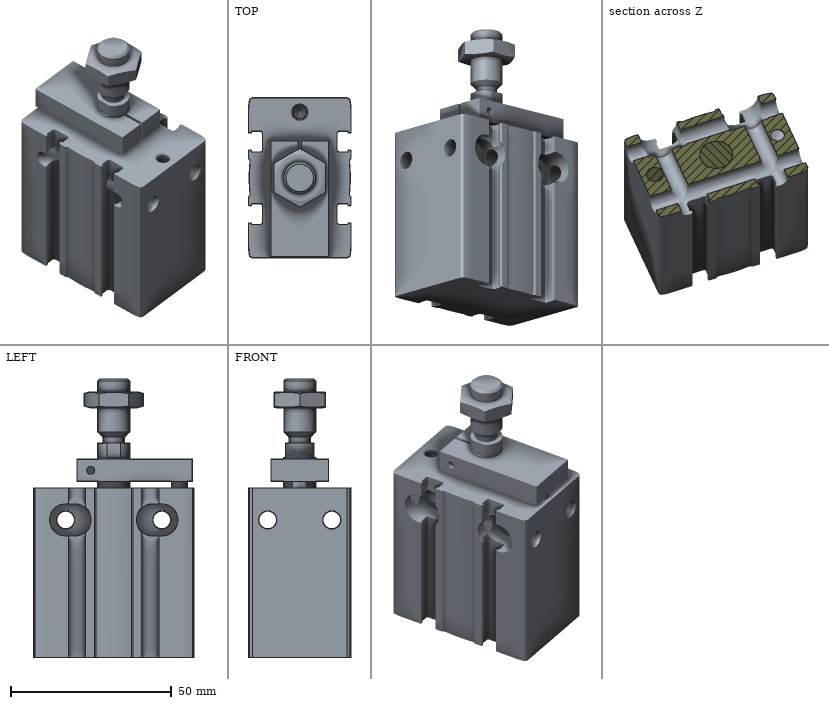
import cadquery as cq
import math

HOUSING_WIDTH = 32.0
HOUSING_LENGTH = 50.0
HOUSING_HEIGHT = 53.0
HALF_WIDTH = HOUSING_WIDTH / 2
HALF_LENGTH = HOUSING_LENGTH / 2

END_FACE_HALF_WIDTH = 14.8
BEVEL_LENGTH = 0.5
CORNER_ARC_RADIUS = 12.5
CORNER_ARC_LENGTH = 3.0

SLOT_OUTER_Y = 14.5
SLOT_INNER_Y = 8.1
SLOT_DEPTH = 4.3
SLOT_FLOOR_CHAMFER = 0.4
LIP_THICKNESS = 1.0
OUTER_LIP_HEIGHT = 0.45
INNER_LIP_HEIGHT = 0.65
LIP_ROUND_HEIGHT = LIP_THICKNESS / 2

RELIEF_HALF_LENGTH = 6.0
RELIEF_BEVEL_LENGTH = 0.5
BOW_HALF_LENGTH = 5.0
BOW_EDGE_DEPTH = 0.45
BOW_CREST_DEPTH = 0.2

MOUNT_HOLE_DIAMETER = 5.5
MOUNT_HOLE_Z = HOUSING_HEIGHT - 10.0
LENGTHWISE_HOLE_X = 10.0
CROSSWISE_HOLE_Y = 15.0
COUNTERBORE_DIAMETER = 10.0
COUNTERBORE_LENGTH = 12.9
COUNTERBORE_DEPTH = 9.0

PORT_Y = 20.5
PORT_THREAD_DIAMETER = 5.0
PORT_BORE_DIAMETER = 4.13
PORT_DEPTH = 10.0
DRILL_POINT_ANGLE = 118.0

ROD_DIAMETER = 10.0
ROD_INSERTION = 10.0
GUIDE_DIAMETER = 5.0
GUIDE_Y = -20.5
GUIDE_RECESS_DIAMETERS = (7.5, 6.0)
GUIDE_RECESS_STEP = 0.3

PLATE_WIDTH = 18.0
PLATE_LENGTH = 36.0
PLATE_THICKNESS = 7.0
PLATE_GAP = 2.0
PLATE_BACK_Y = 11.5
PLATE_BOTTOM_Z = HOUSING_HEIGHT + PLATE_GAP
PLATE_TOP_Z = PLATE_BOTTOM_Z + PLATE_THICKNESS
CLAMP_SLIT_WIDTH = 1.0
CLAMP_HOLE_DIAMETER = 2.46
CLAMP_HOLE_Y = 7.2

ROD_TOP_Z = 87.0
ROD_TIP_DIAMETER = 8.65
NECK_DIAMETER = 6.67
NECK_BOTTOM_Z = PLATE_TOP_Z + 5.0
THREAD_BOTTOM_Z = NECK_BOTTOM_Z + 3.5
WRENCH_WIDTH = 9.0
WRENCH_FLAT_LENGTH = 4.5

NUT_WIDTH = 16.0
NUT_THICKNESS = 5.0
NUT_BOTTOM_Z = 78.0
NUT_FACE_DIAMETER = 14.6
NUT_CHAMFER_ANGLE = 15.0


def cylinder(diameter, bottom_z, top_z, y=0.0):
    """Upright cylinder on the plane X = 0."""
    return (
        cq.Workplane("XY", origin=(0, y, bottom_z))
        .circle(diameter / 2)
        .extrude(top_z - bottom_z)
    )


def housing_corner_arc():
    """Start, middle and end of the corner arc, which is tangent to the side."""
    start_y = HALF_LENGTH - BEVEL_LENGTH - CORNER_ARC_LENGTH
    center_x = HALF_WIDTH - CORNER_ARC_RADIUS
    sweep = math.asin(CORNER_ARC_LENGTH / CORNER_ARC_RADIUS)
    return [
        (
            center_x + CORNER_ARC_RADIUS * math.cos(angle),
            start_y + CORNER_ARC_RADIUS * math.sin(angle),
        )
        for angle in (0, sweep / 2, sweep)
    ]


def mirrored(points):
    """The same points on the -Y side."""
    return [(x, -y) for x, y in points]


def housing_half():
    """The +X half of the extrusion, without the slots."""
    arc_start, arc_middle, arc_end = housing_corner_arc()
    front_arc_start, front_arc_middle, front_arc_end = mirrored([arc_start, arc_middle, arc_end])
    bow_edge_x = HALF_WIDTH - BOW_EDGE_DEPTH
    bow_crest_x = HALF_WIDTH - BOW_CREST_DEPTH
    bow_end = (bow_edge_x, BOW_HALF_LENGTH)
    relief_floor = (bow_edge_x, RELIEF_HALF_LENGTH - RELIEF_BEVEL_LENGTH)
    relief_edge = (HALF_WIDTH, RELIEF_HALF_LENGTH)
    end_face = (END_FACE_HALF_WIDTH, HALF_LENGTH)
    front_bow_end, front_floor, front_edge, front_face = mirrored(
        [bow_end, relief_floor, relief_edge, end_face]
    )
    return (
        cq.Workplane("XY")
        .moveTo(0, -HALF_LENGTH)
        .lineTo(*front_face)
        .lineTo(*front_arc_end)
        .threePointArc(front_arc_middle, front_arc_start)
        .lineTo(*front_edge)
        .lineTo(*front_floor)
        .lineTo(*front_bow_end)
        .threePointArc((bow_crest_x, 0), bow_end)
        .lineTo(*relief_floor)
        .lineTo(*relief_edge)
        .lineTo(*arc_start)
        .threePointArc(arc_middle, arc_end)
        .lineTo(*end_face)
        .lineTo(0, HALF_LENGTH)
        .close()
        .extrude(HOUSING_HEIGHT)
    )


def sensor_slot():
    """Undercut slot at +X and +Y with a square outer lip and a rounded inner lip."""
    floor_x = HALF_WIDTH - SLOT_DEPTH
    lip_x = HALF_WIDTH - LIP_THICKNESS
    lip_middle_x = HALF_WIDTH - LIP_THICKNESS / 2
    outer_mouth_y = SLOT_OUTER_Y - OUTER_LIP_HEIGHT
    inner_crest_y = SLOT_INNER_Y + INNER_LIP_HEIGHT
    round_start_y = inner_crest_y - LIP_ROUND_HEIGHT
    return (
        cq.Workplane("XY")
        .moveTo(HALF_WIDTH, outer_mouth_y)
        .lineTo(lip_x, outer_mouth_y)
        .lineTo(lip_x, SLOT_OUTER_Y)
        .lineTo(floor_x + SLOT_FLOOR_CHAMFER, SLOT_OUTER_Y)
        .lineTo(floor_x, SLOT_OUTER_Y - SLOT_FLOOR_CHAMFER)
        .lineTo(floor_x, SLOT_INNER_Y + SLOT_FLOOR_CHAMFER)
        .lineTo(floor_x + SLOT_FLOOR_CHAMFER, SLOT_INNER_Y)
        .lineTo(lip_x, SLOT_INNER_Y)
        .lineTo(lip_x, round_start_y)
        .threePointArc((lip_middle_x, inner_crest_y), (HALF_WIDTH, round_start_y))
        .close()
        .extrude(HOUSING_HEIGHT)
    )


def housing_extrusion():
    slot = sensor_slot()
    half = housing_half().cut(slot).cut(slot.mirror("XZ"))
    return half.union(half.mirror("YZ")).clean()


def lengthwise_holes():
    """Plain through holes along Y."""
    return (
        cq.Workplane("XZ", origin=(0, HALF_LENGTH, MOUNT_HOLE_Z))
        .pushPoints([(-LENGTHWISE_HOLE_X, 0), (LENGTHWISE_HOLE_X, 0)])
        .circle(MOUNT_HOLE_DIAMETER / 2)
        .extrude(HOUSING_LENGTH)
    )


def crosswise_holes():
    """Through holes along X with obround counterbores in the -X side."""
    side = cq.Workplane("YZ", origin=(-HALF_WIDTH, 0, MOUNT_HOLE_Z))
    holes = (
        side.pushPoints([(-CROSSWISE_HOLE_Y, 0), (CROSSWISE_HOLE_Y, 0)])
        .circle(MOUNT_HOLE_DIAMETER / 2)
        .extrude(HOUSING_WIDTH)
    )
    counterbore_y = CROSSWISE_HOLE_Y + COUNTERBORE_DIAMETER / 2 - COUNTERBORE_LENGTH / 2
    counterbores = (
        side.pushPoints([(-counterbore_y, 0), (counterbore_y, 0)])
        .slot2D(COUNTERBORE_LENGTH, COUNTERBORE_DIAMETER)
        .extrude(COUNTERBORE_DEPTH)
    )
    return holes.union(counterbores)


def port():
    """Blind bore with a countersunk mouth and a conical drill point."""
    thread_radius = PORT_THREAD_DIAMETER / 2
    bore_radius = PORT_BORE_DIAMETER / 2
    mouth_depth = thread_radius - bore_radius
    point_depth = bore_radius / math.tan(math.radians(DRILL_POINT_ANGLE / 2))
    return (
        cq.Workplane("XZ", origin=(0, PORT_Y, HOUSING_HEIGHT))
        .moveTo(0, 0)
        .lineTo(thread_radius, 0)
        .lineTo(bore_radius, -mouth_depth)
        .lineTo(bore_radius, -PORT_DEPTH)
        .lineTo(0, -PORT_DEPTH - point_depth)
        .close()
        .revolve(360, (0, 0, 0), (0, 1, 0))
    )


def guide_bore():
    """Bore of the guide rod with shallow steps at its mouth."""
    bore = cylinder(GUIDE_DIAMETER, HOUSING_HEIGHT - ROD_INSERTION, HOUSING_HEIGHT, GUIDE_Y)
    for number, diameter in enumerate(GUIDE_RECESS_DIAMETERS, start=1):
        step_z = HOUSING_HEIGHT - number * GUIDE_RECESS_STEP
        bore = bore.union(cylinder(diameter, step_z, HOUSING_HEIGHT, GUIDE_Y))
    return bore


def make_housing():
    rod_bore = cylinder(ROD_DIAMETER, HOUSING_HEIGHT - ROD_INSERTION, HOUSING_HEIGHT)
    return (
        housing_extrusion()
        .cut(lengthwise_holes())
        .cut(crosswise_holes())
        .cut(port())
        .cut(rod_bore)
        .cut(guide_bore())
    )


def wrench_flats():
    """Material removed beside the two flats, at -X and +X, below the neck."""
    flat_depth = (ROD_DIAMETER - WRENCH_WIDTH) / 2
    flat_center_x = (WRENCH_WIDTH + flat_depth) / 2
    return (
        cq.Workplane("XY", origin=(0, 0, NECK_BOTTOM_Z - WRENCH_FLAT_LENGTH))
        .pushPoints([(-flat_center_x, 0), (flat_center_x, 0)])
        .rect(flat_depth, ROD_DIAMETER)
        .extrude(WRENCH_FLAT_LENGTH)
    )


def make_piston_rod():
    rod_radius = ROD_DIAMETER / 2
    neck_radius = NECK_DIAMETER / 2
    tip_radius = ROD_TIP_DIAMETER / 2
    bottom_z = HOUSING_HEIGHT - ROD_INSERTION
    neck_top_z = THREAD_BOTTOM_Z - (rod_radius - neck_radius)
    tip_edge_z = ROD_TOP_Z - (rod_radius - tip_radius)
    turned = (
        cq.Workplane("XZ")
        .moveTo(0, bottom_z)
        .lineTo(rod_radius, bottom_z)
        .lineTo(rod_radius, NECK_BOTTOM_Z)
        .lineTo(neck_radius, NECK_BOTTOM_Z)
        .lineTo(neck_radius, neck_top_z)
        .lineTo(rod_radius, THREAD_BOTTOM_Z)
        .lineTo(rod_radius, tip_edge_z)
        .lineTo(tip_radius, ROD_TOP_Z)
        .lineTo(0, ROD_TOP_Z)
        .close()
        .revolve(360, (0, 0, 0), (0, 1, 0))
    )
    return turned.cut(wrench_flats())


def make_guide_rod():
    """Rod from inside the housing to the underside of the plate."""
    return cylinder(GUIDE_DIAMETER, HOUSING_HEIGHT - ROD_INSERTION, PLATE_BOTTOM_Z, GUIDE_Y)


def make_plate():
    """Clamp plate, slit from its back edge to the rod bore."""
    block = cq.Workplane("XY").box(
        PLATE_WIDTH, PLATE_LENGTH, PLATE_THICKNESS, centered=(True, True, False)
    )
    block = block.translate((0, PLATE_BACK_Y - PLATE_LENGTH / 2, PLATE_BOTTOM_Z))
    slit = cq.Workplane("XY").box(
        CLAMP_SLIT_WIDTH, PLATE_BACK_Y, PLATE_THICKNESS, centered=(True, False, False)
    )
    slit = slit.translate((0, 0, PLATE_BOTTOM_Z))
    clamp_hole = (
        cq.Workplane("YZ", origin=(-PLATE_WIDTH / 2, 0, 0))
        .center(CLAMP_HOLE_Y, PLATE_BOTTOM_Z + PLATE_THICKNESS / 2)
        .circle(CLAMP_HOLE_DIAMETER / 2)
        .extrude(PLATE_WIDTH / 2)
    )
    rod_bore = cylinder(ROD_DIAMETER, PLATE_BOTTOM_Z, PLATE_TOP_Z)
    return block.cut(slit).cut(clamp_hole).cut(rod_bore)


def make_nut():
    """Hexagon nut with corners at -Y and +Y, chamfered on both faces."""
    corner_radius = NUT_WIDTH / 2 / math.cos(math.radians(30))
    face_radius = NUT_FACE_DIAMETER / 2
    corner_drop = (corner_radius - face_radius) * math.tan(math.radians(NUT_CHAMFER_ANGLE))
    hexagon = (
        cq.Workplane("XY")
        .polygon(6, 2 * corner_radius)
        .extrude(NUT_THICKNESS)
        .rotate((0, 0, 0), (0, 0, 1), 30)
    )
    chamfer_envelope = (
        cq.Workplane("XZ")
        .moveTo(0, 0)
        .lineTo(face_radius, 0)
        .lineTo(corner_radius, corner_drop)
        .lineTo(corner_radius, NUT_THICKNESS - corner_drop)
        .lineTo(face_radius, NUT_THICKNESS)
        .lineTo(0, NUT_THICKNESS)
        .close()
        .revolve(360, (0, 0, 0), (0, 1, 0))
    )
    bore = cylinder(ROD_DIAMETER, 0, NUT_THICKNESS)
    return hexagon.intersect(chamfer_envelope).cut(bore).translate((0, 0, NUT_BOTTOM_Z))


housing = make_housing()
piston_rod = make_piston_rod()
guide_rod = make_guide_rod()
plate = make_plate()
nut = make_nut()

result = cq.Compound.makeCompound(
    [housing.val(), piston_rod.val(), guide_rod.val(), plate.val(), nut.val()]
)